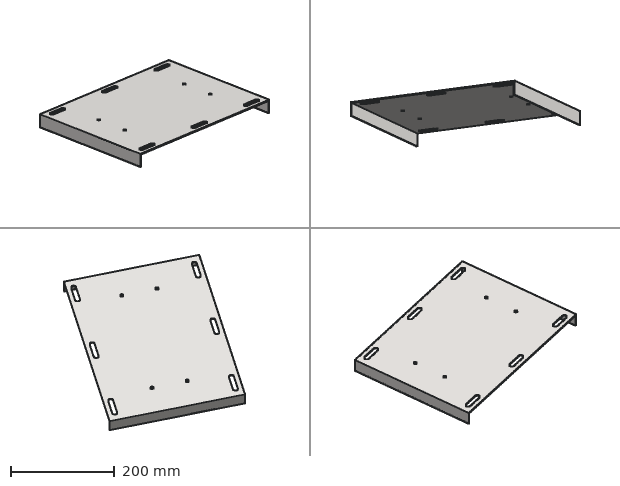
import cadquery as cq

width = 270.0
length = 358.0
height = 28.0
thickness = 2.5

slot_length = 40.0
slot_width = 9.5
slot_column_spacing = 240.5
slot_pitch = 145.0

hole_diameter = 6.0
hole_spacing_x = 70.0
hole_spacing_y = 237.0


def make_channel():
    """Flat top plate with a flange hanging down at each Y end."""
    block = cq.Workplane("XY").box(width, length, height, centered=(True, True, False))
    cavity = cq.Workplane("XY").box(
        width,
        length - 2 * thickness,
        height - thickness,
        centered=(True, True, False),
    )
    return block.cut(cavity)


def cut_slots(body):
    return (
        body.faces(">Z")
        .workplane(origin=(0, 0, height))
        .rarray(slot_column_spacing, slot_pitch, 2, 3)
        .slot2D(slot_length, slot_width, angle=90)
        .cutBlind(-thickness)
    )


def cut_holes(body):
    return (
        body.faces(">Z")
        .workplane(origin=(0, 0, height))
        .rarray(hole_spacing_x, hole_spacing_y, 2, 2)
        .circle(hole_diameter / 2)
        .cutBlind(-thickness)
    )


result = cut_holes(cut_slots(make_channel()))